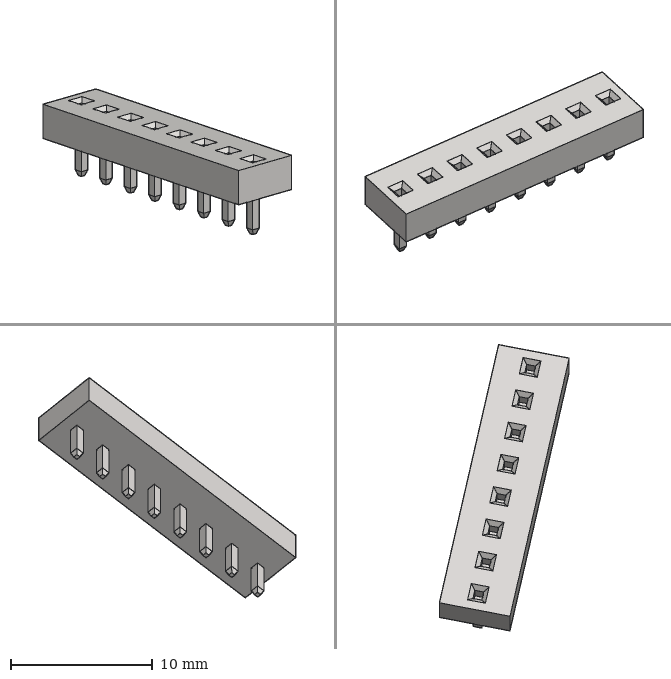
import cadquery as cq

contact_count = 8
pitch = 2.55
body_length = contact_count * pitch
body_width = 2 * pitch
body_height = pitch

overall_height = 5.55
pin_side = pitch / 4
tip_side = pin_side / 2
tip_length = 0.43
pin_length = overall_height - body_height

socket_side = pin_side
funnel_side = 1.28
funnel_depth = (funnel_side - socket_side) / 2
socket_depth = body_height / 2


def square_taper(start_z, start_side, end_z, end_side):
    """Solid between two centred horizontal squares at different heights."""
    return (
        cq.Workplane("XY")
        .workplane(offset=start_z)
        .rect(start_side, start_side)
        .workplane(offset=end_z - start_z)
        .rect(end_side, end_side)
        .loft(ruled=True)
    )


def square_bar(start_z, end_z, side):
    """Centred vertical square bar."""
    return cq.Workplane("XY").workplane(offset=start_z).rect(side, side).extrude(end_z - start_z)


def make_pin():
    """Pin hanging from the housing underside at Z = 0."""
    shoulder_z = tip_length - pin_length
    shank = square_bar(shoulder_z, 0, pin_side)
    tip = square_taper(shoulder_z, pin_side, -pin_length, tip_side)
    return shank.union(tip)


def make_socket():
    """Material removed for one socket, opening at the top face."""
    throat_z = body_height - funnel_depth
    bore = square_bar(body_height - socket_depth, throat_z, socket_side)
    funnel = square_taper(throat_z, socket_side, body_height, funnel_side)
    return bore.union(funnel)


result = cq.Workplane("XY").box(body_length, body_width, body_height, centered=(True, True, False))

pin = make_pin()
socket = make_socket()
for index in range(contact_count):
    contact_x = (index - (contact_count - 1) / 2) * pitch
    result = result.union(pin.translate((contact_x, 0, 0)))
    result = result.cut(socket.translate((contact_x, 0, 0)))